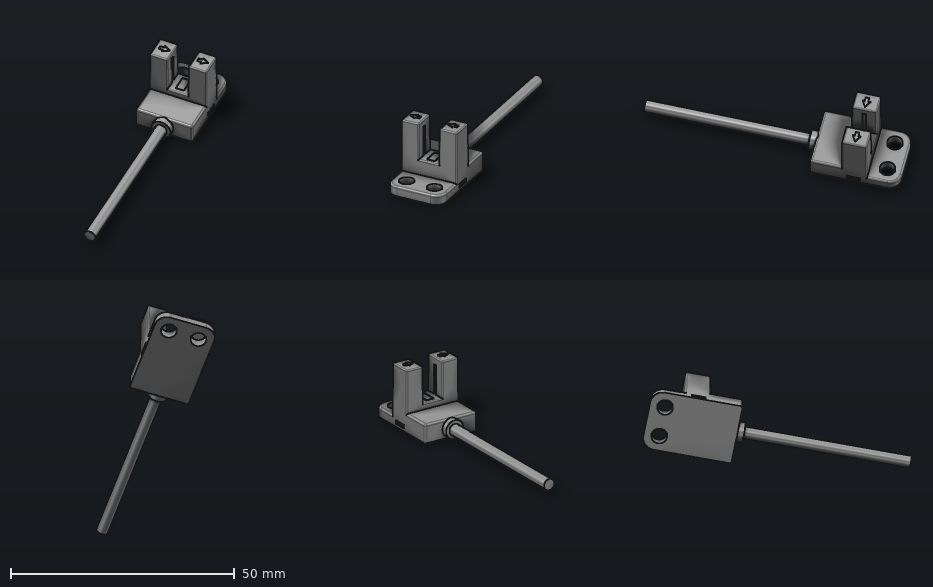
import cadquery as cq
import math

WIDTH = 14.02
BASE_LENGTH = 20.6
PLATE_HEIGHT = 2.5
HOUSING_HEIGHT = 4.7
BASE_ROUND = 0.5
PLATE_CORNER_RADIUS = 2.8

HOLE_DIAMETER = 3.5
HOLE_SPACING = 7.0
HOLE_INSET = 3.5

FORK_HEIGHT = 15.2
FORK_THICKNESS = 5.95
FORK_CENTER_Y = -10.34
FORK_DRAFT = 0.5
FORK_ROUND = 0.3

SLOT_FLOOR_Z = 6.25
SLOT_FLOOR_WIDTH = 5.0
SLOT_DRAFT = 0.5

SLIT_GAP = 5.4
SLIT_WIDTH = 0.8
SLIT_TOP_Z = 13.3
FLOOR_WINDOW_WIDTH = 2.0
FLOOR_WINDOW_LENGTH = 3.6
FLOOR_WINDOW_DEPTH = 0.1

SIDE_POCKET_CENTER_Y = -10.5
SIDE_POCKET_LENGTH = 3.1
SIDE_POCKET_BOTTOM_Z = 0.8
SIDE_POCKET_TOP_Z = 1.6
SIDE_POCKET_DEPTH = 0.3
SIDE_POCKET_LEDGE = 0.2

ARROW_HEIGHT = 0.15
ARROW_LENGTH = 2.5
ARROW_HEAD_WIDTH = 1.8
ARROW_SHAFT_LENGTH = 0.95
ARROW_SHAFT_WIDTH = 0.85
ARROW_CENTERS_X = (-4.55, 4.9)

CABLE_Z = 2.35
CABLE_DIAMETER = 2.8
CABLE_END_Y = -60.1
COLLAR_DIAMETER = 4.6
COLLAR_LENGTH = 1.5


def base_block(y_start, y_end, height):
    """Full-width block standing on Z = 0 between two Y positions."""
    block = cq.Workplane("XY").box(WIDTH, y_end - y_start, height, centered=(True, False, False))
    return block.translate((0, y_start, 0))


def mounting_plate():
    """Low plate with two rounded corners, a rounded top rim and two through holes."""
    plate = base_block(FORK_CENTER_Y, 0, PLATE_HEIGHT)
    plate = plate.edges("|Z and >Y").fillet(PLATE_CORNER_RADIUS)
    plate = plate.faces(">Z").edges("not <Y").fillet(BASE_ROUND)
    holes = (
        cq.Workplane("XY")
        .pushPoints([(side * HOLE_SPACING / 2, -HOLE_INSET) for side in (-1, 1)])
        .circle(HOLE_DIAMETER / 2)
        .extrude(PLATE_HEIGHT)
    )
    return plate.cut(holes)


def cable_housing():
    """Taller block on the cable side, rounded on its top rim and end corners."""
    housing = base_block(-BASE_LENGTH, FORK_CENTER_Y, HOUSING_HEIGHT)
    return housing.edges("(|Z and <Y) or (>Z and (not >Y))").fillet(BASE_ROUND)


def tapered_outline(plane, bottom_z, half_bottom, top_z, draft):
    """Closed symmetric outline whose sides lean by the draft angle; a positive draft narrows upward."""
    half_top = half_bottom - (top_z - bottom_z) * math.tan(math.radians(draft))
    corners = [
        (-half_bottom, bottom_z),
        (half_bottom, bottom_z),
        (half_top, top_z),
        (-half_top, top_z),
    ]
    return cq.Workplane(plane).polyline(corners).close()


def fork():
    """U-shaped fork with drafted front and rear faces, a widening slot and rounded edges."""
    body = tapered_outline("YZ", 0, FORK_THICKNESS / 2, FORK_HEIGHT, FORK_DRAFT)
    body = body.extrude(WIDTH / 2, both=True)
    slot = tapered_outline("XZ", SLOT_FLOOR_Z, SLOT_FLOOR_WIDTH / 2, FORK_HEIGHT, -SLOT_DRAFT)
    body = body.cut(slot.extrude(FORK_THICKNESS, both=True))
    body = body.faces(">Y or <Y or >Z").edges("not <Z").fillet(FORK_ROUND)
    return body.translate((0, FORK_CENTER_Y, 0))


def slot_windows():
    """Cutter for the upright slit in each slot wall and the rectangle in the slot floor."""
    slits = cq.Workplane("XY").box(
        SLIT_GAP, SLIT_WIDTH, SLIT_TOP_Z - SLOT_FLOOR_Z, centered=(True, True, False)
    )
    floor_window = cq.Workplane("XY").box(
        FLOOR_WINDOW_WIDTH, FLOOR_WINDOW_LENGTH, 2 * FLOOR_WINDOW_DEPTH
    )
    return slits.union(floor_window).translate((0, FORK_CENTER_Y, SLOT_FLOOR_Z))


def side_pockets():
    """Cutter for the pockets in both side walls, each with a sloped ledge along its top."""
    outer = WIDTH / 2
    floor = outer - SIDE_POCKET_DEPTH
    pocket = (
        cq.Workplane("XZ")
        .polyline(
            [
                (outer, SIDE_POCKET_BOTTOM_Z),
                (floor, SIDE_POCKET_BOTTOM_Z),
                (floor, SIDE_POCKET_TOP_Z - SIDE_POCKET_LEDGE),
                (floor - SIDE_POCKET_LEDGE, SIDE_POCKET_TOP_Z),
                (outer, SIDE_POCKET_TOP_Z),
            ]
        )
        .close()
        .extrude(SIDE_POCKET_LENGTH / 2, both=True)
        .translate((0, SIDE_POCKET_CENTER_Y, 0))
    )
    return pocket.union(pocket.mirror("YZ"))


def arrow(center_x):
    """Raised arrow pointing to +X on top of an arm."""
    tail_x = -ARROW_LENGTH / 2
    head_x = tail_x + ARROW_SHAFT_LENGTH
    half_shaft = ARROW_SHAFT_WIDTH / 2
    half_head = ARROW_HEAD_WIDTH / 2
    outline = [
        (tail_x, -half_shaft),
        (head_x, -half_shaft),
        (head_x, -half_head),
        (ARROW_LENGTH / 2, 0),
        (head_x, half_head),
        (head_x, half_shaft),
        (tail_x, half_shaft),
    ]
    raised = cq.Workplane("XY").polyline(outline).close().extrude(ARROW_HEIGHT)
    return raised.translate((center_x, FORK_CENTER_Y, FORK_HEIGHT))


def rod_along_y(diameter, y_start, y_end):
    """Round rod on the cable axis between two Y positions, y_end being the lower one."""
    section = cq.Workplane("XZ", origin=(0, y_start, CABLE_Z)).circle(diameter / 2)
    return section.extrude(y_start - y_end)


def cable():
    """Strain relief collar, seated inside the housing wall, with the round cable behind it."""
    collar_start_y = -BASE_LENGTH + BASE_ROUND
    collar_end_y = -BASE_LENGTH - COLLAR_LENGTH
    collar = rod_along_y(COLLAR_DIAMETER, collar_start_y, collar_end_y)
    return collar.union(rod_along_y(CABLE_DIAMETER, collar_end_y, CABLE_END_Y))


result = mounting_plate().union(cable_housing()).union(fork())
result = result.cut(slot_windows()).cut(side_pockets())
for arrow_x in ARROW_CENTERS_X:
    result = result.union(arrow(arrow_x))
result = result.union(cable())